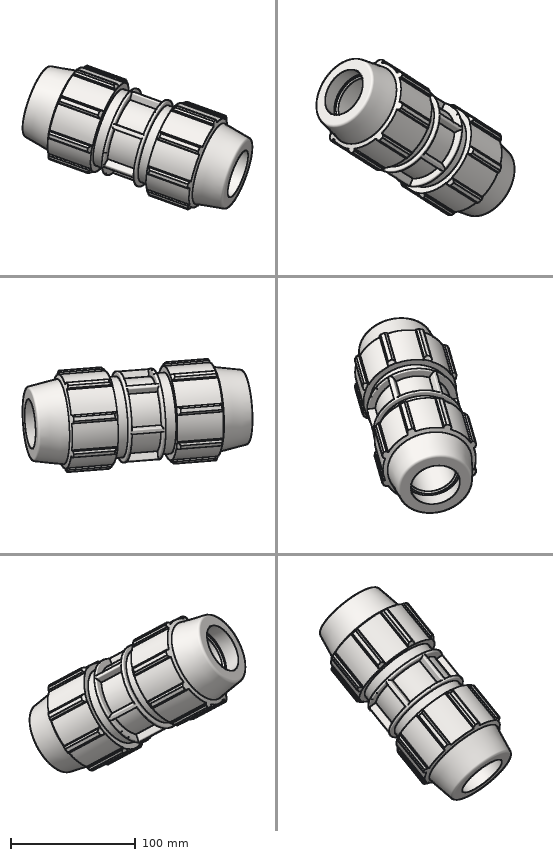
import cadquery as cq
import math

half_length = 88.5

neck_radius = 65.7 / 2

collar_radius = 73.8 / 2
collar_half_width = 15.2
flange_thickness = 2.7
pocket_half_width = collar_half_width - flange_thickness
pocket_floor_radius = 30.6
collar_rib_count = 6
collar_rib_width = 3.9
collar_fillet = 0.9

nut_radius = 38.0
nut_inner_x = 24.5
nut_outer_x = 62.3
nut_end_slope = 0.4

grip_count = 8
grip_radius = 41.0
grip_width = 6.7
grip_side_chamfer = 1.6
grip_end_chamfer = 2.7

taper_base_radius = 34.5
taper_tip_radius = 30.1
tip_fillet = 2.1

mouth_radius = 40.0 / 2
mouth_depth = 15.0
mouth_inner_radius = 23.2
socket_radius = mouth_radius
socket_chamfer_radius = 21.5
socket_chamfer_length = 1.5
stop_radius = 32.0 / 2
stop_half_width = 4.5


def revolve_about_x(*points):
    """Revolve a closed outline of (x, radius) points about the X axis."""
    return cq.Workplane("XY").polyline(points).close().revolve(360, (0, 0, 0), (1, 0, 0))


def cylinder(radius, half_width):
    return cq.Workplane("YZ").circle(radius).extrude(half_width, both=True)


def spin(shape, angle):
    return shape.rotate((0, 0, 0), (1, 0, 0), angle)


def nut_end_x(radius):
    """X of the sloping outer face of the nut at a given radius."""
    return nut_outer_x + nut_end_slope * (nut_radius - radius)


def is_collar_rim(edge):
    """True for the rims on the outer surface of the collar, but not for its seam line."""
    middle = edge.positionAt(0.5)
    on_outer_surface = math.hypot(middle.y, middle.z) > collar_radius - collar_fillet
    is_seam = edge.geomType() == "LINE" and edge.Length() > 2 * pocket_half_width + collar_fillet
    return on_outer_surface and not is_seam


def make_collar():
    pockets = cylinder(collar_radius, pocket_half_width).cut(
        cylinder(pocket_floor_radius, pocket_half_width)
    )
    rib = cq.Workplane("XY").box(
        2 * collar_half_width, collar_rib_width, 2 * collar_radius, centered=(True, True, False)
    )
    for index in range(collar_rib_count):
        pockets = pockets.cut(spin(rib, 90 + index * 360 / collar_rib_count))
    collar = cylinder(collar_radius, collar_half_width).cut(pockets)
    rims = [edge for edge in collar.edges().vals() if is_collar_rim(edge)]
    return collar.newObject(rims).fillet(collar_fillet)


def make_grip():
    """One grip rib pointing along +Z, bevelled at its inner end and along both sides."""
    return (
        cq.Workplane("XZ")
        .moveTo(nut_inner_x, 0)
        .lineTo(nut_inner_x, grip_radius - grip_end_chamfer)
        .lineTo(nut_inner_x + grip_end_chamfer, grip_radius)
        .lineTo(half_length, grip_radius)
        .lineTo(half_length, 0)
        .close()
        .extrude(grip_width / 2, both=True)
        .faces(">Z")
        .edges("|X")
        .chamfer(grip_side_chamfer)
    )


def make_nut():
    nut = revolve_about_x(
        (nut_inner_x, 0), (nut_inner_x, nut_radius), (half_length, nut_radius), (half_length, 0)
    )
    grip = make_grip()
    for index in range(grip_count):
        nut = nut.union(spin(grip, (index + 0.5) * 360 / grip_count))
    envelope_radius = grip_radius + 1.8
    envelope = revolve_about_x(
        (nut_inner_x, 0),
        (nut_inner_x, envelope_radius),
        (nut_end_x(envelope_radius), envelope_radius),
        (nut_end_x(0), 0),
    )
    return nut.intersect(envelope)


def make_core():
    """Neck beside the collar together with the tapered end beyond the nut."""
    core = revolve_about_x(
        (pocket_half_width, 0),
        (pocket_half_width, neck_radius),
        (nut_inner_x, neck_radius),
        (nut_inner_x, taper_base_radius),
        (nut_end_x(taper_base_radius), taper_base_radius),
        (half_length, taper_tip_radius),
        (half_length, 0),
    )
    return core.faces(">X").edges().fillet(tip_fillet)


def make_bore():
    """Half of the bore, from the middle of the pipe stop out to the mouth."""
    mouth_floor_x = half_length - mouth_depth
    return revolve_about_x(
        (0, 0),
        (0, stop_radius),
        (stop_half_width, stop_radius),
        (stop_half_width, socket_radius),
        (mouth_floor_x - socket_chamfer_length, socket_radius),
        (mouth_floor_x, socket_chamfer_radius),
        (mouth_floor_x, mouth_inner_radius),
        (half_length, mouth_radius),
        (half_length, 0),
    )


half_body = make_core().union(make_nut())
half_bore = make_bore()
body = make_collar().union(half_body).union(half_body.mirror("YZ"))
result = body.cut(half_bore).cut(half_bore.mirror("YZ"))